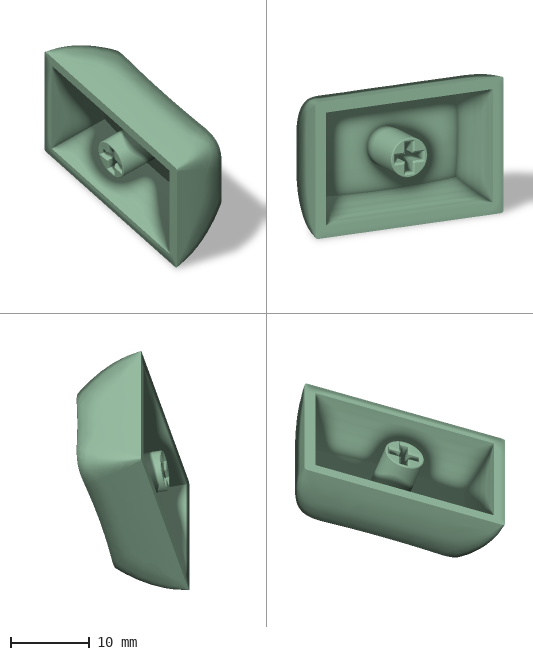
import cadquery as cq
import math

length = 27.0
width = 18.0
wall = 1.5
overshoot = 1.0

end_arc_radius = 21.5
side_arc_radius = 18.1

dish_lowest = 8.11
dish_radius_along_x = 103.0
dish_radius_along_z = 53.0

corner_size_mouth = 0.5
corner_growth_x = 0.39
corner_growth_z = 0.44
corner_fullness = 0.75
section_count = 6

top_edge_radius = 0.3

stem_diameter = 5.2
stem_edge_chamfer = 0.1
socket_span = 4.0
socket_arm_width = 1.05
socket_lead_in = 0.25
socket_depth = 4.0

blank_height = dish_lowest + 2 * overshoot


def arc_inset(arc_radius, height):
    """How far a wall has leaned inwards at a height above the mouth."""
    return arc_radius - math.sqrt(arc_radius**2 - height**2)


def dish_tool(offset):
    """Body of revolution above the dish, grown towards the mouth by the offset."""
    reach = length / 2 + overshoot
    arc_radius = dish_radius_along_x + offset
    bottom = dish_lowest - offset
    rim = bottom + arc_inset(arc_radius, reach)
    axis_height = dish_lowest + dish_radius_along_z
    return (
        cq.Workplane("XY")
        .moveTo(-reach, axis_height)
        .lineTo(-reach, rim)
        .threePointArc((0, bottom), (reach, rim))
        .lineTo(reach, axis_height)
        .close()
        .revolve(360, (-reach, axis_height), (reach, axis_height))
    )


def cap_section(height):
    """Level outline of the cap: straight sides joined by full, tangent corner curves."""
    half_x = length / 2 - arc_inset(end_arc_radius, height)
    half_z = width / 2 - arc_inset(side_arc_radius, height)
    corner_x = corner_size_mouth + corner_growth_x * height
    corner_z = corner_size_mouth + corner_growth_z * height
    flat_x = half_x - corner_x
    flat_z = half_z - corner_z
    pole_x = flat_x + corner_fullness * corner_x
    pole_z = flat_z + corner_fullness * corner_z
    corner = [(half_x, flat_z), (half_x, pole_z), (pole_x, half_z), (flat_x, half_z)]

    outline = cq.Workplane("XZ", origin=(0, height, 0)).moveTo(half_x, -flat_z)
    for sign_x, sign_z in ((1, 1), (-1, 1), (-1, -1), (1, -1)):
        poles = [(sign_x * x, sign_z * z) for x, z in corner]
        if sign_x != sign_z:
            poles.reverse()
        outline = outline.lineTo(*poles[0]).bezier(poles[1:], includeCurrent=True)
    return outline.wire().val()


def outer_body():
    """Solid cap, dished and with its top edge rounded."""
    step = blank_height / (section_count - 1)
    sections = [cap_section(index * step) for index in range(section_count)]
    body = cq.Workplane(cq.Solid.makeLoft(sections)).cut(dish_tool(0))
    top_face = body.faces(cq.selectors.NearestToPointSelector((0, dish_lowest, 0)))
    return body.newObject(top_face.edges().vals()).fillet(top_edge_radius)


def bowed_prism(plane, half_size, arc_radius, prism_length):
    """Prism symmetric about Y whose two flanks are arcs starting square to the mouth."""
    middle_height = blank_height / 2
    middle = half_size - arc_inset(arc_radius, middle_height)
    top = half_size - arc_inset(arc_radius, blank_height)
    return (
        cq.Workplane(plane)
        .moveTo(-half_size, 0)
        .lineTo(half_size, 0)
        .threePointArc((middle, middle_height), (top, blank_height))
        .lineTo(-top, blank_height)
        .threePointArc((-middle, middle_height), (-half_size, 0))
        .close()
        .extrude(prism_length / 2, both=True)
    )


def cavity():
    """Sharp-cornered hollow, one wall thickness inside the walls and the dish."""
    inner_length = length - 2 * wall
    inner_width = width - 2 * wall
    between_ends = bowed_prism("XY", inner_length / 2, end_arc_radius - wall, inner_width + overshoot)
    between_sides = bowed_prism("ZY", inner_width / 2, side_arc_radius - wall, inner_length + overshoot)
    return between_ends.intersect(between_sides).cut(dish_tool(wall))


def cross_prism(span, arm_width, depth, taper=0):
    """Cross-shaped prism reaching from the mouth plane into the cap."""
    reach = span / 2
    half = arm_width / 2
    points = [
        (half, half), (half, reach), (-half, reach), (-half, half),
        (-reach, half), (-reach, -half), (-half, -half), (-half, -reach),
        (half, -reach), (half, -half), (reach, -half), (reach, half),
    ]
    return cq.Workplane("XZ").polyline(points).close().extrude(-depth, taper=taper)


def stem():
    """Round post rooted in the top wall, with a chamfered cross socket in its free end."""
    post_length = dish_lowest - wall / 2
    post = cq.Workplane("XZ").circle(stem_diameter / 2).extrude(-post_length)
    post = post.faces("<Y").chamfer(stem_edge_chamfer)
    recess = cross_prism(socket_span, socket_arm_width, socket_depth)
    widening = 2 * socket_lead_in
    lead_in = cross_prism(socket_span + widening, socket_arm_width + widening, socket_lead_in, taper=45)
    return post.cut(recess).cut(lead_in)


result = outer_body().cut(cavity()).union(stem()).solids()